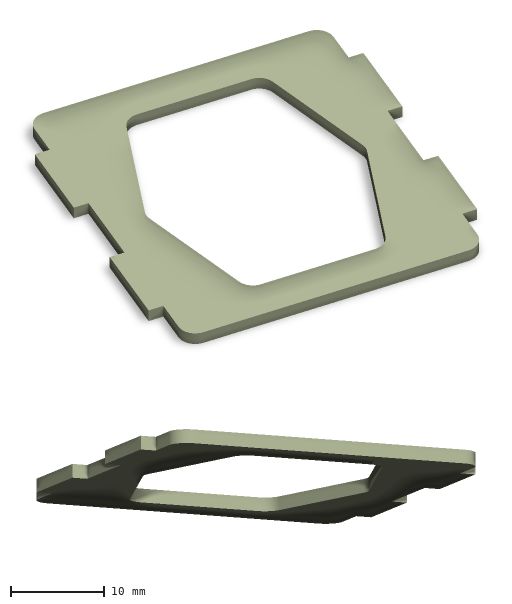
import cadquery as cq

plate_length = 40.0
plate_width = 35.5
thickness = 1.5
corner_radius = 2.0

overall_width = 39.0
tab_length = 9.75
tab_gap = 9.0

window_length = 31.0
window_height = 26.2
window_side_height = 16.5
window_corner_radius = 2.0


def make_plate():
    """Rectangular plate with rounded vertical corners."""
    plate = cq.Workplane("XY").box(plate_length, plate_width, thickness)
    return plate.edges("|Z").fillet(corner_radius)


def make_tabs():
    """Two bars crossing the plate; their ends stand out as the four tabs."""
    tab_offset = (tab_gap + tab_length) / 2
    return (
        cq.Workplane("XY")
        .pushPoints([(-tab_offset, 0), (tab_offset, 0)])
        .box(tab_length, overall_width, thickness)
    )


def make_window():
    """Hexagonal cutter with all six vertical corners rounded."""
    half_length = window_length / 2
    half_height = window_height / 2
    half_side = window_side_height / 2
    outline = [
        (half_length, -half_side),
        (half_length, half_side),
        (0, half_height),
        (-half_length, half_side),
        (-half_length, -half_side),
        (0, -half_height),
    ]
    window = cq.Workplane("XY").polyline(outline).close().extrude(thickness / 2, both=True)
    return window.edges("|Z").fillet(window_corner_radius)


result = make_plate().union(make_tabs()).cut(make_window())